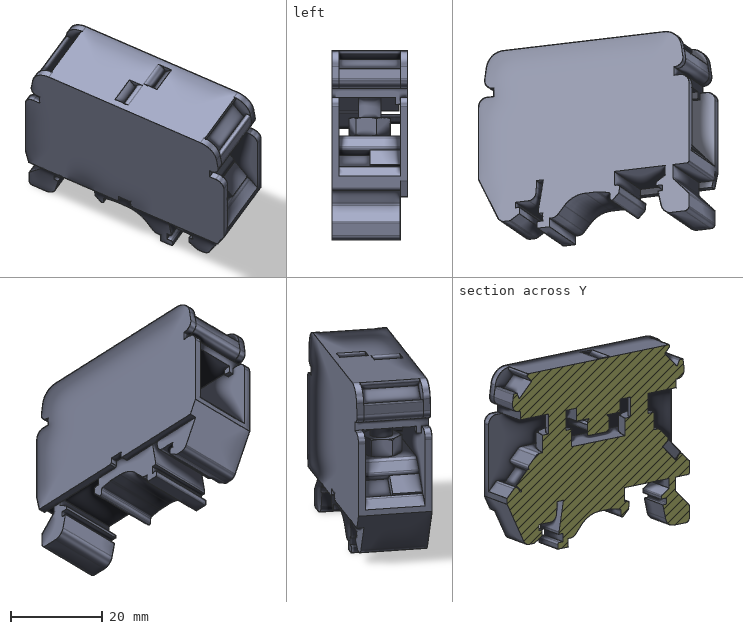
import cadquery as cq
import math

LENGTH = 50
DEPTH = 16.6
HEIGHT = 41.55
PLATE = 1.6

END = LENGTH / 2
MID_Y = DEPTH / 2
INNER_BACK = DEPTH - PLATE

COVER_BOTTOM = 31.3
NOTCH_TOP = 33.25
NOTCH_X = 21.4
BODY_BOTTOM = 10.9
FRONT_PLATE_BOTTOM = 9.45
END_SLOPE_TOP = 12.7
END_SLOPE = 2.03

BASE_TOP = 22.85
BASE_LIP_X = 19.5
BASE_LIP_Z = 20
FILLER_SETBACK = 0.2

SCREW_X = 11.25
SCREW_DIAMETER = 5
NUT_ACROSS_CORNERS = 9.2
NUT_TOP = 26.85
NUT_TURN = 19
NUT_CHAMFER = 0.45

BLOCK_BOTTOM = 28.35
BACK_BAR_Z = (24.5, BLOCK_BOTTOM)
FRONT_BAR_Z = (25.55, 27.55)


def sloped_end_x(z):
    """X of the sloping +X end at height z."""
    return END - (END_SLOPE_TOP - z) / END_SLOPE


def rounded_outline(points):
    """Closed XZ wire from (x, z) or (x, z, corner radius) points."""
    corners = []
    for i, point in enumerate(points):
        here = cq.Vector(point[0], 0, point[1])
        radius = point[2] if len(point) > 2 else 0
        if radius == 0:
            corners.append((here, None, here))
            continue
        before = cq.Vector(points[i - 1][0], 0, points[i - 1][1])
        after_point = points[(i + 1) % len(points)]
        after = cq.Vector(after_point[0], 0, after_point[1])
        to_before = (before - here).normalized()
        to_after = (after - here).normalized()
        half_angle = to_before.getAngle(to_after) / 2
        setback = radius / math.tan(half_angle)
        bisector = (to_before + to_after).normalized()
        middle = here + bisector * (radius / math.sin(half_angle) - radius)
        corners.append((here + to_before * setback, middle, here + to_after * setback))

    edges = []
    for i, (start, middle, end) in enumerate(corners):
        if middle is not None:
            edges.append(cq.Edge.makeThreePointArc(start, middle, end))
        next_start = corners[(i + 1) % len(corners)][0]
        if (next_start - end).Length > 5e-07:
            edges.append(cq.Edge.makeLine(end, next_start))
    return cq.Wire.assembleEdges(edges)


def extrude_xz(points, y_from, y_to):
    """Prism of an XZ outline between two Y planes."""
    wire = rounded_outline(points).translate(cq.Vector(0, y_from, 0))
    return cq.Workplane(cq.Solid.extrudeLinear(wire, [], cq.Vector(0, y_to - y_from, 0)))


def box(x_from, x_to, y_from, y_to, z_from, z_to):
    size = (x_to - x_from, y_to - y_from, z_to - z_from)
    return cq.Workplane().box(*size, centered=False).translate((x_from, y_from, z_from))


def mirrored(points):
    """The same outline points on the +X side, in the opposite order."""
    return [(-point[0], *point[1:]) for point in reversed(points)]


def half_turn(shape):
    """The shape turned 180 degrees about the vertical centre line of the part."""
    return shape.rotate((0, MID_Y, 0), (0, MID_Y, 1), 180)


COVER_CHEEK = (-23.85, NOTCH_TOP, 1.9)
PLATE_SHOULDER = [
    (-END, COVER_BOTTOM, 2.05),
    (-NOTCH_X, COVER_BOTTOM),
    (-NOTCH_X, NOTCH_TOP),
    COVER_CHEEK,
    (-22.65, HEIGHT, 4.1),
]
PLATE_UPPER = PLATE_SHOULDER + mirrored(PLATE_SHOULDER)
BODY_LOWER = [
    (END, END_SLOPE_TOP),
    (sloped_end_x(BODY_BOTTOM), BODY_BOTTOM),
    (-END, BODY_BOTTOM, 0.5),
]


def front_plate():
    relief_half_width = 1.5
    relief_top = 11.05
    relief_chamfer = 0.35
    relief_left = [
        (-relief_half_width, relief_top),
        (-relief_half_width, FRONT_PLATE_BOTTOM + relief_chamfer),
        (-relief_half_width - relief_chamfer, FRONT_PLATE_BOTTOM),
    ]
    chamfer_inset = 0.8
    chamfer_top = 13
    lower = [
        (END, END_SLOPE_TOP),
        (sloped_end_x(FRONT_PLATE_BOTTOM), FRONT_PLATE_BOTTOM),
        *mirrored(relief_left),
        *relief_left,
        (-END + chamfer_inset, FRONT_PLATE_BOTTOM),
        (-END, chamfer_top),
    ]
    return extrude_xz(PLATE_UPPER + lower, 0, PLATE)


def back_plate():
    return extrude_xz(PLATE_UPPER + BODY_LOWER, INNER_BACK, DEPTH)


def base():
    left_end = [
        (-END, 14.05),
        (-22.9, 16.15, 0.75),
        (-22.15, 16.15, 0.75),
        (-21.2, 14.85),
        (-17.65, 18.5),
        (-BASE_LIP_X, BASE_LIP_Z, 0.7),
        (-16.65, BASE_TOP, 1.5),
    ]
    return extrude_xz(left_end + mirrored(left_end) + BODY_LOWER, PLATE, INNER_BACK)


def pocket_filler():
    """Fills the -X end pocket of the base over the front half of its width."""
    nose_z = BASE_LIP_Z - FILLER_SETBACK
    outline = [
        (-BASE_LIP_X + FILLER_SETBACK, nose_z),
        (-16.5, 19),
        (-21, 15),
        (-22.5, 16.55),
    ]
    return extrude_xz(outline, PLATE, MID_Y)


def cover():
    left_end = [
        (-NOTCH_X, COVER_BOTTOM),
        (-NOTCH_X, NOTCH_TOP),
        COVER_CHEEK,
        (-23.25, 37.6, 0.2),
        (-22.2, 37.65, 0.25),
        (-21.6, 36.3),
        (-18.25, 39.65),
        (-19.75, 41.15, 0.5),
        (-19.35, HEIGHT),
    ]
    return extrude_xz(left_end + mirrored(left_end), PLATE, INNER_BACK)


def cover_pocket():
    """Notch in the cover top: rounded nose on the centre line, 45-degree wall beyond."""
    nose_radius = 1.7
    outer_x = 3.3
    wall_run = outer_x - nose_radius
    gap_to_middle = 0.3
    y_from = MID_Y + gap_to_middle
    profile = (
        cq.Workplane("XZ", origin=(0, y_from, 0))
        .moveTo(0, HEIGHT)
        .radiusArc((nose_radius, HEIGHT - nose_radius), nose_radius)
        .lineTo(outer_x - wall_run, HEIGHT - wall_run)
        .lineTo(outer_x, HEIGHT)
        .close()
    )
    return profile.extrude(-(INNER_BACK - y_from))


def left_foot():
    outline = [
        (-21.15, BODY_BOTTOM),
        (-21.15, 7.8, 0.75),
        (-END, 3.9, 0.5),
        (-END, 0, 1),
        (-18.8, 0, 2.5),
        (-17.6, 5.25),
        (-18.65, 5.25, 0.2),
        (-18.65, 6.55, 0.2),
        (-17.2, 6.55),
        (-17.2, 7.35, 0.3),
        (-19.35, 8.75),
        (-19.35, BODY_BOTTOM),
    ]
    return extrude_xz(outline, PLATE, DEPTH)


def centre_foot():
    outline = [
        (-7.25, BODY_BOTTOM),
        (-7.25, 7.8, 0.2),
        (-8.55, 7.55, 0.3),
        (-8.35, 5.85, 0.25),
        (-6.6, 4.15, 0.35),
        (-6.2, 4.75, 0.25),
        (-6.2, 6.2, 0.5),
        (-3.25, 6.7, 3),
        (2.65, 6.7, 6.5),
        (6.7, 1.95, 2),
        (8.15, 1.95),
        (8.15, 0),
        (11.15, 0, 0.2),
        (11.15, 1.55, 0.4),
        (9.75, 1.55),
        (9.75, 3.35),
        (10.8, 3.35),
        (10.8, 3.95),
        (9.6, BODY_BOTTOM),
    ]
    return extrude_xz(outline, PLATE, DEPTH)


def right_foot():
    toe_z = 2.45
    outline = [
        (11.25, BODY_BOTTOM),
        (11.25, FRONT_PLATE_BOTTOM),
        (11.5, 6.5, 1.7),
        (16.2, 6.5),
        (16.2, 5.25),
        (15.3, 5.25),
        (15.3, 3.8),
        (17.5, toe_z, 0.5),
        (sloped_end_x(toe_z), toe_z, 1.75),
        (sloped_end_x(BODY_BOTTOM), BODY_BOTTOM),
    ]
    return extrude_xz(outline, PLATE, DEPTH)


def terminal_screw():
    """Shank under the cover with a hex nut resting on the base."""
    shank = cq.Workplane(origin=(0, 0, NUT_TOP)).circle(SCREW_DIAMETER / 2).extrude(COVER_BOTTOM - NUT_TOP)
    nut_height = NUT_TOP - BASE_TOP
    nut = cq.Workplane(origin=(0, 0, BASE_TOP)).polygon(6, NUT_ACROSS_CORNERS).extrude(nut_height)
    chamfer_envelope = (
        cq.Workplane(origin=(0, 0, BASE_TOP))
        .circle(NUT_ACROSS_CORNERS / 2)
        .extrude(nut_height)
        .faces("<Z or >Z")
        .chamfer(NUT_CHAMFER / 2, NUT_CHAMFER)
    )
    nut = nut.intersect(chamfer_envelope).rotate((0, 0, 0), (0, 0, 1), NUT_TURN)
    return shank.union(nut).translate((-SCREW_X, MID_Y, 0))


def hanging_block():
    """Block under the cover between the screws, clear of the front plate."""
    half_length = 6
    front_gap = 0.3
    return box(-half_length, half_length, PLATE + front_gap, INNER_BACK, BLOCK_BOTTOM, COVER_BOTTOM)


def cross_bar(y_from, y_to, z_from, z_to):
    """Bar carried by one side plate, bevelled along its top and rounded along its bottom."""
    half_length = 3
    edge = 0.5
    bar = box(-half_length, half_length, y_from, y_to, z_from, z_to)
    bar = bar.faces(">Z").edges("|Y").chamfer(edge)
    return bar.faces("<Z").edges("|Y").fillet(edge)


def notch_tab():
    """Small tab on the front plate under the edge of the cover."""
    length = 1.5
    width = 1.1
    drop = 1.55
    return box(-NOTCH_X, -NOTCH_X + length, PLATE, PLATE + width, COVER_BOTTOM - drop, COVER_BOTTOM)


screw = terminal_screw()
pocket = cover_pocket()
filler = pocket_filler()
tab = notch_tab()

features = [
    back_plate(),
    base(),
    filler,
    half_turn(filler),
    cover().cut(pocket).cut(half_turn(pocket)),
    left_foot(),
    centre_foot(),
    right_foot(),
    screw,
    half_turn(screw),
    hanging_block(),
    cross_bar(MID_Y, INNER_BACK, *BACK_BAR_Z),
    cross_bar(PLATE, MID_Y, *FRONT_BAR_Z),
    tab,
    half_turn(tab),
]

result = front_plate()
for feature in features:
    result = result.union(feature)